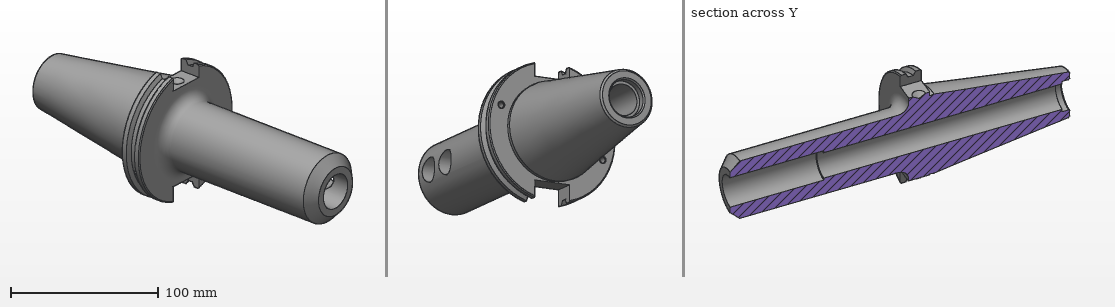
import cadquery as cq
import math


taper_length = 101.6
projection = 152.4

gauge_diameter = 69.85
taper_ratio = 7 / 24
small_end_chamfer = 1.2
neck_diameter = 69.25
neck_bevel_length = 1.5

flange_front_x = 3.18
flange_back_x = 19.05
flange_diameter = 98.425
flange_chamfer = 0.8
groove_depth = 3.1
groove_floor_width = 3.8
groove_centre_x = 11.2
groove_wall_angle = 30

slot_width = 26.87
top_slot_floor = 37.7
bottom_slot_floor = 35.3

dimple_diameter = 9.53
dimple_x = 11.1
drill_point_angle = 118

coolant_pitch_radius = 41.9
coolant_angle = 20
coolant_mouth_diameter = 5.0
coolant_mouth_depth = 1.0
coolant_hole_diameter = 4.2
groove_outlet_diameter = 3.24

body_diameter = 50.8
root_fillet = 8.0
nose_length = 7.2
nose_end_diameter = 35.8

thread_bore_diameter = 21.97
counterbore_diameter = 26.2
counterbore_depth = 5.8
counterbore_mouth_diameter = 28.2
tool_bore_diameter = 25.4
tool_bore_depth = 70.0

screw_hole_diameter = 17.32
screw_spacing = 23.2
outer_screw_from_nose = 21.2


def revolve_about_axis(profile):
    """Full turn of an XY profile about the X axis."""
    return profile.close().revolve(360, (0, 0, 0), (1, 0, 0))


def make_body():
    gauge_radius = gauge_diameter / 2
    small_radius = gauge_radius - taper_length * taper_ratio / 2
    neck_radius = neck_diameter / 2
    flange_radius = flange_diameter / 2
    body_radius = body_diameter / 2
    groove_radius = flange_radius - groove_depth
    floor_half = groove_floor_width / 2
    mouth_half = floor_half + groove_depth * math.tan(math.radians(groove_wall_angle))
    chamfer_taper_radius = small_radius + small_end_chamfer * taper_ratio / 2
    arc_middle = root_fillet * (1 - math.sqrt(0.5))

    profile = (
        cq.Workplane("XY")
        .moveTo(-taper_length, 0)
        .lineTo(-taper_length, small_radius - small_end_chamfer)
        .lineTo(-taper_length + small_end_chamfer, chamfer_taper_radius)
        .lineTo(0, gauge_radius)
        .lineTo(neck_bevel_length, neck_radius)
        .lineTo(flange_front_x, neck_radius)
        .lineTo(flange_front_x, flange_radius - flange_chamfer)
        .lineTo(flange_front_x + flange_chamfer, flange_radius)
        .lineTo(groove_centre_x - mouth_half, flange_radius)
        .lineTo(groove_centre_x - floor_half, groove_radius)
        .lineTo(groove_centre_x + floor_half, groove_radius)
        .lineTo(groove_centre_x + mouth_half, flange_radius)
        .lineTo(flange_back_x - flange_chamfer, flange_radius)
        .lineTo(flange_back_x, flange_radius - flange_chamfer)
        .lineTo(flange_back_x, body_radius + root_fillet)
        .threePointArc(
            (flange_back_x + arc_middle, body_radius + arc_middle),
            (flange_back_x + root_fillet, body_radius),
        )
        .lineTo(projection - nose_length, body_radius)
        .lineTo(projection, nose_end_diameter / 2)
        .lineTo(projection, 0)
    )
    return revolve_about_axis(profile)


def make_axial_bores():
    thread_radius = thread_bore_diameter / 2
    counterbore_radius = counterbore_diameter / 2
    mouth_radius = counterbore_mouth_diameter / 2
    mouth_chamfer = mouth_radius - counterbore_radius
    tool_radius = tool_bore_diameter / 2

    profile = (
        cq.Workplane("XY")
        .moveTo(-taper_length, 0)
        .lineTo(-taper_length, mouth_radius)
        .lineTo(-taper_length + mouth_chamfer, counterbore_radius)
        .lineTo(-taper_length + counterbore_depth, counterbore_radius)
        .lineTo(-taper_length + counterbore_depth, thread_radius)
        .lineTo(projection - tool_bore_depth, thread_radius)
        .lineTo(projection - tool_bore_depth, tool_radius)
        .lineTo(projection, tool_radius)
        .lineTo(projection, 0)
    )
    return revolve_about_axis(profile)


def make_drive_slot(floor_height, side):
    """Slot across the flange; side is +1 for the top slot and -1 for the bottom one."""
    flange_width = flange_back_x - flange_front_x
    slot_depth = flange_diameter / 2 - floor_height
    slot_centre_z = side * (floor_height + slot_depth / 2)
    return (
        cq.Workplane("XY")
        .box(flange_width, slot_width, slot_depth)
        .translate(((flange_front_x + flange_back_x) / 2, 0, slot_centre_z))
    )


def make_dimple():
    """Conical recess pointing down from the top slot floor."""
    radius = dimple_diameter / 2
    depth = radius / math.tan(math.radians(drill_point_angle / 2))
    return (
        cq.Workplane("XZ")
        .moveTo(0, top_slot_floor)
        .lineTo(radius, top_slot_floor)
        .lineTo(0, top_slot_floor - depth)
        .close()
        .revolve(360, (0, 0, 0), (0, 1, 0))
        .translate((dimple_x, 0, 0))
    )


def make_coolant_passage(angle):
    """Axial hole in the flange front face, met by a radial outlet from the groove floor."""
    axial_length = groove_centre_x - flange_front_x
    mouth = cq.Solid.makeCylinder(
        coolant_mouth_diameter / 2,
        coolant_mouth_depth,
        cq.Vector(flange_front_x, coolant_pitch_radius, 0),
        cq.Vector(1, 0, 0),
    )
    hole = cq.Solid.makeCylinder(
        coolant_hole_diameter / 2,
        axial_length,
        cq.Vector(flange_front_x, coolant_pitch_radius, 0),
        cq.Vector(1, 0, 0),
    )
    outlet = cq.Solid.makeCylinder(
        groove_outlet_diameter / 2,
        flange_diameter / 2 - coolant_pitch_radius,
        cq.Vector(groove_centre_x, coolant_pitch_radius, 0),
        cq.Vector(0, 1, 0),
    )
    passage = cq.Workplane(mouth).union(cq.Workplane(hole)).union(cq.Workplane(outlet))
    return passage.rotate((0, 0, 0), (1, 0, 0), angle)


def make_screw_hole(x):
    """Side-lock screw hole from the +Y side into the tool bore."""
    hole = cq.Solid.makeCylinder(
        screw_hole_diameter / 2,
        body_diameter / 2,
        cq.Vector(x, 0, 0),
        cq.Vector(0, 1, 0),
    )
    return cq.Workplane(hole)


result = make_body().cut(make_axial_bores())
result = result.cut(make_drive_slot(top_slot_floor, 1))
result = result.cut(make_drive_slot(bottom_slot_floor, -1))
result = result.cut(make_dimple())
for passage_angle in (coolant_angle, coolant_angle + 180):
    result = result.cut(make_coolant_passage(passage_angle))
for screw_index in range(2):
    screw_x = projection - outer_screw_from_nose - screw_index * screw_spacing
    result = result.cut(make_screw_hole(screw_x))